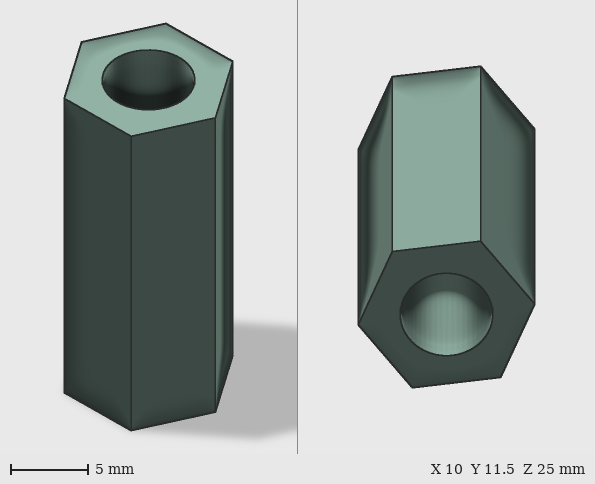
import cadquery as cq
import math

length = 25
across_flats = 10
bore_diameter = 6

across_corners = across_flats / math.cos(math.pi / 6)

hex_body = (
    cq.Workplane("XY")
    .transformed(rotate=(0, 0, 90))
    .polygon(6, across_corners)
    .extrude(length)
)

result = hex_body.faces(">Z").workplane().hole(bore_diameter)